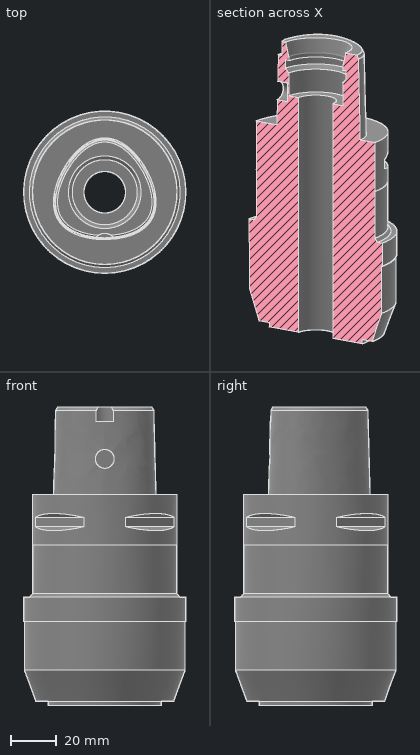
import math

import cadquery as cq

SHANK_LENGTH = 38.0
BOTTOM_Z = -92.0

SHANK_BASE_DIAMETER = 44.3
SHANK_TAPER = 1 / 20
LOBE_HEIGHT = 1.5
OUTLINE_POINTS = 24
SHANK_CHAMFER_HEIGHT = 1.6
SHANK_CHAMFER_WIDTH = 0.9

FLANGE_RADIUS = 31.5
FLANGE_BOTTOM_Z = -22.1
NECK_RADIUS = 31.4
NECK_BOTTOM_Z = -43.2
COLLAR_CONE_RADIUS = 32.8
COLLAR_TOP_Z = -44.8
COLLAR_RADIUS = 35.35
COLLAR_BOTTOM_Z = -55.3
NUT_RADIUS = 35.05
NUT_CONE_TOP_Z = -76.5
NUT_CONE_END_RADIUS = 30.05
NUT_BOTTOM_Z = -90.1
SPIGOT_RADIUS = 24.65

GROOVE_COUNT = 4
GROOVE_FIRST_ANGLE = 45.0
GROOVE_CENTRE_Z = -12.1
GROOVE_FLOOR_DISTANCE = 27.75
GROOVE_FLOOR_HEIGHT = 4.0
GROOVE_FLANK_ANGLE = 25.0

THROUGH_RADIUS = 9.0
MOUTH_RADIUS = 15.8
CLAMP_RADIUS = 14.15
UNDERCUT_RADIUS = 16.0
MOUTH_DEPTH = 6.3
LAND_DEPTH = 8.2
UNDERCUT_DEPTH = 11.85
UNDERCUT_CONE_DEPTH = UNDERCUT_DEPTH + UNDERCUT_RADIUS - CLAMP_RADIUS
CLAMP_DEPTH = 24.0

NOTCH_RADIUS = 5.0
NOTCH_DEPTH = 6.3
NOTCH_INNER_DISTANCE = 17.9
HOLE_DIAMETER = 8.2
HOLE_Z = 15.4
HOLE_FLOOR_DISTANCE = 15.0


def lobed_wire(diameter, z):
    """Closed three-lobed outline with one lobe towards +Y."""
    radius = diameter / 2
    points = []
    for index in range(OUTLINE_POINTS):
        angle = 2 * math.pi * index / OUTLINE_POINTS - math.pi / 2
        x = radius * math.cos(angle) - LOBE_HEIGHT * math.sin(2 * angle)
        y = radius * math.sin(angle) - LOBE_HEIGHT * math.cos(2 * angle)
        points.append(cq.Vector(x, y, z))
    outline = cq.Edge.makeSpline(points, periodic=True)
    return cq.Wire.assembleEdges([outline])


def make_shank():
    chamfer_z = SHANK_LENGTH - SHANK_CHAMFER_HEIGHT
    chamfer_diameter = SHANK_BASE_DIAMETER - SHANK_TAPER * chamfer_z
    end_diameter = chamfer_diameter - 2 * SHANK_CHAMFER_WIDTH
    base = lobed_wire(SHANK_BASE_DIAMETER, 0)
    shoulder = lobed_wire(chamfer_diameter, chamfer_z)
    end = lobed_wire(end_diameter, SHANK_LENGTH)
    return cq.Workplane(cq.Solid.makeLoft([base, shoulder, end], True))


def revolve_profile(points):
    """Turn (radius, z) points around the Z axis, starting from the -Y side."""
    start_plane = cq.Plane(origin=(0, 0, 0), xDir=(0, -1, 0), normal=(-1, 0, 0))
    return cq.Workplane(start_plane).polyline(points).close().revolve(360, (0, 0), (0, 1))


def make_body():
    return revolve_profile([
        (0, 0),
        (FLANGE_RADIUS, 0),
        (FLANGE_RADIUS, FLANGE_BOTTOM_Z),
        (NECK_RADIUS, FLANGE_BOTTOM_Z),
        (NECK_RADIUS, NECK_BOTTOM_Z),
        (COLLAR_CONE_RADIUS, COLLAR_TOP_Z),
        (COLLAR_RADIUS, COLLAR_TOP_Z),
        (COLLAR_RADIUS, COLLAR_BOTTOM_Z),
        (NUT_RADIUS, COLLAR_BOTTOM_Z),
        (NUT_RADIUS, NUT_CONE_TOP_Z),
        (NUT_CONE_END_RADIUS, NUT_BOTTOM_Z),
        (SPIGOT_RADIUS, NUT_BOTTOM_Z),
        (SPIGOT_RADIUS, BOTTOM_Z),
        (0, BOTTOM_Z),
    ])


def make_bore():
    top = SHANK_LENGTH
    return revolve_profile([
        (0, top),
        (MOUTH_RADIUS, top),
        (CLAMP_RADIUS, top - MOUTH_DEPTH),
        (CLAMP_RADIUS, top - LAND_DEPTH),
        (UNDERCUT_RADIUS, top - LAND_DEPTH),
        (UNDERCUT_RADIUS, top - UNDERCUT_DEPTH),
        (CLAMP_RADIUS, top - UNDERCUT_CONE_DEPTH),
        (CLAMP_RADIUS, top - CLAMP_DEPTH),
        (THROUGH_RADIUS, top - CLAMP_DEPTH),
        (THROUGH_RADIUS, BOTTOM_Z),
        (0, BOTTOM_Z),
    ])


def make_gripper_grooves():
    """Straight trapezoidal grooves, spaced evenly around the flange."""
    outer = COLLAR_RADIUS
    floor_half = GROOVE_FLOOR_HEIGHT / 2
    flank_rise = (outer - GROOVE_FLOOR_DISTANCE) * math.tan(math.radians(GROOVE_FLANK_ANGLE))
    mouth_half = floor_half + flank_rise
    groove = (
        cq.Workplane("XZ", origin=(0, 0, GROOVE_CENTRE_Z))
        .polyline([
            (GROOVE_FLOOR_DISTANCE, -floor_half),
            (GROOVE_FLOOR_DISTANCE, floor_half),
            (outer, mouth_half),
            (outer, -mouth_half),
        ])
        .close()
        .extrude(FLANGE_RADIUS, both=True)
    )
    grooves = cq.Workplane()
    for index in range(GROOVE_COUNT):
        angle = GROOVE_FIRST_ANGLE + index * 360 / GROOVE_COUNT
        grooves = grooves.add(groove.rotate((0, 0, 0), (0, 0, 1), angle))
    return grooves.combine()


def make_notch():
    """Round-backed notch running down from the shank end."""
    centre_y = -(NOTCH_INNER_DISTANCE + NOTCH_RADIUS)
    return (
        cq.Workplane("XY", origin=(0, centre_y, SHANK_LENGTH - NOTCH_DEPTH))
        .circle(NOTCH_RADIUS)
        .extrude(NOTCH_DEPTH)
    )


def make_side_hole():
    return (
        cq.Workplane("XZ", origin=(0, -HOLE_FLOOR_DISTANCE, HOLE_Z))
        .circle(HOLE_DIAMETER / 2)
        .extrude(SHANK_BASE_DIAMETER / 2)
    )


result = (
    make_body()
    .union(make_shank())
    .cut(make_bore())
    .cut(make_gripper_grooves())
    .cut(make_notch())
    .cut(make_side_hole())
)